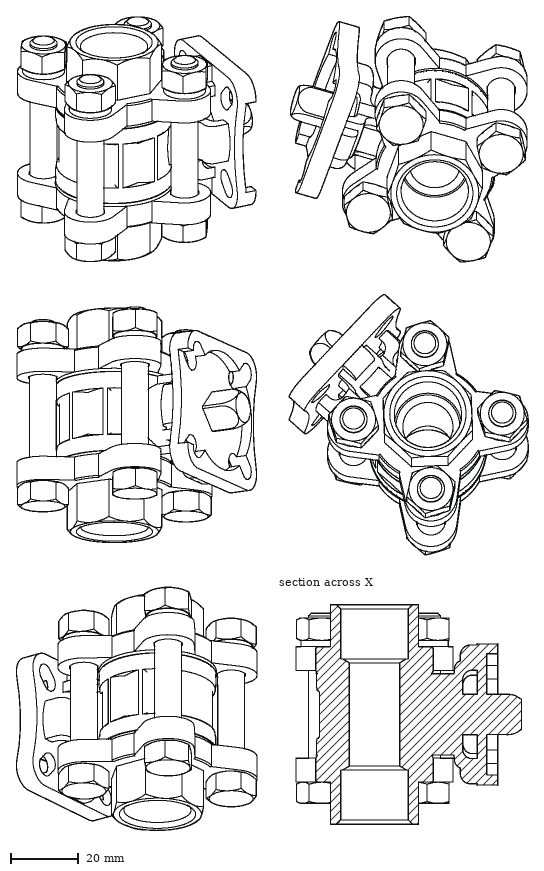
import cadquery as cq
import math


outer_width = 46.55
outer_depth = 66.8
outer_height = 65.0

end_height = outer_height / 2
octagon_flats = 26.05
octagon_chamfer_angle = 45.0
bore_radius = 7.4
socket_radius = 9.95
socket_mouth_radius = 11.3
socket_depth = 16.0
seat_radius = 9.4
seat_depth = 1.2

flange_inner_z = 12.95
flange_outer_z = 20.05
flange_disc_radius = 17.4
flange_edge_chamfer = 0.5
lobe_radius = 15.4 / 2
web_angle = 35.0
bolt_offset = outer_width / 2 - lobe_radius
bolt_hole_radius = 8.5 / 2

rod_radius = 4.0
rod_tip_z = 29.9
rod_tip_chamfer = 0.8
washer_radius = 12.5 / 2
washer_top_z = 21.9
hex_flats = 13.0
hex_chamfer_angle = 30.0
nut_top_z = 28.5
head_bottom_z = -26.3

body_half_height = 24.1 / 2
collar_radius = 16.95
rim_radius = 17.3
rim_inner_z = 8.5
barrel_radius = 17.1
barrel_half_height = 7.55
groove_radius = 16.3
groove_half_height = 7.1
groove_fillet = 0.75
boss_half_width = 6.4
boss_draft = 25.0
edge_tolerance = 0.001

neck_radius = 10.4
neck_top_y = 26.1
pad_half_width = 8.2 / 2
pad_top_y = 23.6

cup_outer_radius = 16.0
cup_inner_radius = 13.0
cup_bottom_y = pad_top_y
cup_fillet = 2.7
cup_root_y = cup_bottom_y - cup_fillet
arm_half_width = 6.0
stop_reach = 20.6
stop_bottom_y = 25.3
stop_fillet = 3.15

plate_bottom_y = 30.3
plate_top_y = 36.45
plate_corner_offset = 14.8
plate_corner_radius = 6.15
plate_waist = 18.95
slot_inner_offset = 12.75
slot_width = 5.7
recess_radius = 17.9
recess_outlet_half_width = 14.35
recess_floor_y = 33.2

stem_radius = 6.0
stem_top_y = outer_depth - outer_width / 2
stem_dome_center_y = 39.5
stem_square = 9.0

quarter_turns = (0, 90, 180, 270)


def cylinder_z(radius, bottom, top):
    return cq.Workplane("XY").workplane(offset=bottom).circle(radius).extrude(top - bottom)


def plane_y(y):
    """Workplane facing +Y at the given height, with local axes (X, -Z)."""
    return cq.Workplane(cq.Plane((0, y, 0), (1, 0, 0), (0, 1, 0)))


def cylinder_y(radius, bottom, top):
    return plane_y(bottom).circle(radius).extrude(top - bottom)


def box_between(x, y, z):
    size = [high - low for low, high in (x, y, z)]
    middle = [(high + low) / 2 for low, high in (x, y, z)]
    return cq.Workplane("XY").box(*size).translate(tuple(middle))


def chamfered_prism(sides, flats, bottom, top, angle, ends):
    """Polygonal prism along Z whose corners are turned down to the flats at the given ends."""
    corner_radius = flats / 2 / math.cos(math.pi / sides)
    drop = (corner_radius - flats / 2) * math.tan(math.radians(angle))
    prism = (
        cq.Workplane("XY").workplane(offset=bottom)
        .transformed(rotate=(0, 0, 180 / sides))
        .polygon(sides, 2 * corner_radius).extrude(top - bottom)
    )
    low = flats / 2 if "bottom" in ends else corner_radius
    high = flats / 2 if "top" in ends else corner_radius
    envelope = (
        cq.Workplane("XZ").moveTo(0, bottom).lineTo(low, bottom)
        .lineTo(corner_radius, bottom + drop).lineTo(corner_radius, top - drop)
        .lineTo(high, top).lineTo(0, top).close().revolve(360, (0, 0), (0, 1))
    )
    return prism.intersect(envelope)


def make_flange():
    """Upper flange: a disc with four bolt lobes joined to it by tapering webs."""
    slope = math.radians(web_angle)
    along = (math.cos(slope), math.sin(slope))
    tangent = (bolt_offset - lobe_radius * along[1], bolt_offset + lobe_radius * along[0])
    projection = tangent[0] * along[0] + tangent[1] * along[1]
    reach = tangent[0] ** 2 + tangent[1] ** 2 - flange_disc_radius ** 2
    step = projection - math.sqrt(projection ** 2 - reach)
    waist = (tangent[0] - step * along[0], tangent[1] - step * along[1])
    thickness = flange_outer_z - flange_inner_z
    lobe_tip = bolt_offset + lobe_radius / math.sqrt(2)
    arm = (
        cq.Workplane("XY").workplane(offset=flange_inner_z)
        .lineTo(*waist).lineTo(*tangent)
        .threePointArc((lobe_tip, lobe_tip), tangent[::-1])
        .lineTo(*waist[::-1]).close().extrude(thickness)
    )
    flange = cylinder_z(flange_disc_radius, flange_inner_z, flange_outer_z)
    flange = flange.faces(">Z").chamfer(flange_edge_chamfer)
    bolt_hole = cylinder_z(bolt_hole_radius, flange_inner_z, flange_outer_z)
    bolt_hole = bolt_hole.translate((bolt_offset, bolt_offset, 0))
    for turn in quarter_turns:
        flange = flange.union(arm.rotate((0, 0, 0), (0, 0, 1), turn))
    for turn in quarter_turns:
        flange = flange.cut(bolt_hole.rotate((0, 0, 0), (0, 0, 1), turn))
    return flange


def make_bolt():
    """Bolt with its head below the lower flange and a washer and nut above the upper one."""
    rod = cylinder_z(rod_radius, -flange_outer_z, rod_tip_z).faces(">Z").chamfer(rod_tip_chamfer)
    washer = cylinder_z(washer_radius, flange_outer_z, washer_top_z)
    both_ends = ("bottom", "top")
    nut = chamfered_prism(6, hex_flats, washer_top_z, nut_top_z, hex_chamfer_angle, both_ends)
    head = chamfered_prism(6, hex_flats, head_bottom_z, -flange_outer_z, hex_chamfer_angle, both_ends)
    bolt = rod.union(washer).union(nut).union(head)
    return bolt.translate((bolt_offset, bolt_offset, 0))


def make_end():
    """Upper end connection from the body to the octagon, without its bore."""
    octagon = chamfered_prism(8, octagon_flats, 0, end_height, octagon_chamfer_angle, ("top",))
    collar = (
        cq.Workplane("XZ").moveTo(0, body_half_height).lineTo(collar_radius, body_half_height)
        .lineTo(flange_disc_radius, flange_inner_z).lineTo(0, flange_inner_z).close()
        .revolve(360, (0, 0), (0, 1))
    )
    return octagon.union(collar).union(make_flange())


def round_groove_floor(groove):
    """Fillet the edges of a groove cutter that lie on its inner cylinder."""
    floor_edges = [
        edge for edge in groove.edges().vals()
        if all(abs(math.hypot(v.X, v.Y) - groove_radius) < edge_tolerance for v in edge.Vertices())
    ]
    return groove.newObject(floor_edges).fillet(groove_fillet)


def make_body():
    """Round body with a wide groove, interrupted by a flat boss on each X side."""
    body = (
        cq.Workplane("XZ").lineTo(0, body_half_height).lineTo(rim_radius, body_half_height)
        .lineTo(rim_radius, rim_inner_z).lineTo(barrel_radius, barrel_half_height)
        .lineTo(barrel_radius, 0).close().revolve(360, (0, 0), (0, 1))
    )
    body = body.union(body.mirror("XY"))
    outside = 2 * barrel_radius
    ring = cylinder_z(outside, -groove_half_height, groove_half_height)
    ring = ring.cut(cylinder_z(groove_radius, -groove_half_height, groove_half_height))
    wall_rise = math.tan(math.radians(boss_draft))
    wall_top_x = math.sqrt(barrel_radius ** 2 - boss_half_width ** 2)
    strip_half_length = flange_disc_radius
    strip_middle = boss_half_width + wall_top_x * wall_rise
    strip_end = strip_middle - strip_half_length * wall_rise
    boss_strip = (
        cq.Workplane("XY").workplane(offset=-body_half_height)
        .polyline([
            (strip_half_length, strip_end), (0, strip_middle), (-strip_half_length, strip_end),
            (-strip_half_length, -strip_end), (0, -strip_middle), (strip_half_length, -strip_end),
        ]).close().extrude(2 * body_half_height)
    )
    inside_flats = box_between(
        (-groove_radius, groove_radius), (-outside, outside), (-body_half_height, body_half_height)
    )
    body = body.cut(round_groove_floor(ring.cut(boss_strip)))
    return body.cut(round_groove_floor(ring).intersect(boss_strip).cut(inside_flats))


def make_neck():
    pad = box_between(
        (-pad_half_width, pad_half_width), (0, pad_top_y), (-body_half_height, body_half_height)
    )
    return cylinder_y(neck_radius, 0, neck_top_y).union(pad)


def make_cup():
    """Turned cup trimmed to a cross of four arms, with a stop block on each Z arm."""
    bend = cup_fillet * math.sqrt(0.5)
    outer_center = (cup_outer_radius - cup_fillet, cup_bottom_y + cup_fillet)
    root_center = (neck_radius + cup_fillet, cup_root_y)
    inner_center = (cup_inner_radius - cup_fillet, neck_top_y + cup_fillet)
    cup = (
        cq.Workplane("XY").moveTo(0, cup_root_y).lineTo(neck_radius, cup_root_y)
        .threePointArc((root_center[0] - bend, root_center[1] + bend), (root_center[0], cup_bottom_y))
        .lineTo(outer_center[0], cup_bottom_y)
        .threePointArc(
            (outer_center[0] + bend, outer_center[1] - bend), (cup_outer_radius, outer_center[1])
        )
        .lineTo(cup_outer_radius, plate_bottom_y).lineTo(cup_inner_radius, plate_bottom_y)
        .lineTo(cup_inner_radius, inner_center[1])
        .threePointArc((inner_center[0] + bend, inner_center[1] - bend), (inner_center[0], neck_top_y))
        .lineTo(0, neck_top_y).close().revolve(360, (0, 0), (0, 1))
    )
    height = (cup_root_y, plate_bottom_y)
    across = (-arm_half_width, arm_half_width)
    along = (-cup_outer_radius, cup_outer_radius)
    cross = box_between(across, height, along).union(box_between(along, height, across))
    cup = cup.intersect(cross)
    stop = box_between(
        (-pad_half_width, pad_half_width),
        (stop_bottom_y, plate_bottom_y),
        (cup_outer_radius - 2 * cup_fillet, stop_reach),
    )
    stop = stop.edges("<Y and >Z").fillet(stop_fillet)
    stop = stop.cut(cylinder_y((cup_inner_radius + cup_outer_radius) / 2, stop_bottom_y, plate_bottom_y))
    return cup.union(stop).union(stop.mirror("XY"))


def make_plate():
    """Square plate with round corners and waisted X sides.

    It has four diagonal slots and, in its top face, a round recess with an outlet to +X.
    """
    half = plate_corner_offset + plate_corner_radius
    center_gap = plate_corner_offset - plate_waist
    waist_radius = (plate_corner_offset ** 2 + center_gap ** 2 - plate_corner_radius ** 2) / (
        2 * (center_gap + plate_corner_radius)
    )
    waist_center = plate_waist + waist_radius
    tilt = math.asin(plate_corner_offset / (waist_radius + plate_corner_radius))
    joint = (waist_center - waist_radius * math.cos(tilt), waist_radius * math.sin(tilt))
    corner_middle = (
        plate_corner_offset + plate_corner_radius * math.cos(math.pi / 4),
        plate_corner_offset + plate_corner_radius * math.sin(math.pi / 4),
    )
    outline = (
        plane_y(plate_bottom_y).moveTo(plate_corner_offset, half)
        .threePointArc(corner_middle, joint)
        .threePointArc((plate_waist, 0), (joint[0], -joint[1]))
        .threePointArc((corner_middle[0], -corner_middle[1]), (plate_corner_offset, -half))
        .lineTo(-plate_corner_offset, -half)
        .threePointArc((-corner_middle[0], -corner_middle[1]), (-joint[0], -joint[1]))
        .threePointArc((-plate_waist, 0), (-joint[0], joint[1]))
        .threePointArc((-corner_middle[0], corner_middle[1]), (-plate_corner_offset, half))
        .close()
    )
    plate = outline.extrude(plate_top_y - plate_bottom_y)
    slot_travel = (plate_corner_offset - slot_inner_offset) * math.sqrt(2)
    slot_center = (plate_corner_offset + slot_inner_offset) / 2
    slot = (
        plane_y(plate_bottom_y).center(slot_center, slot_center)
        .slot2D(slot_travel + slot_width, slot_width, 45).extrude(plate_top_y - plate_bottom_y)
    )
    for turn in quarter_turns:
        plate = plate.cut(slot.rotate((0, 0, 0), (0, 1, 0), turn))
    recess = cylinder_y(recess_radius, recess_floor_y, plate_top_y).union(
        box_between(
            (0, half),
            (recess_floor_y, plate_top_y),
            (-recess_outlet_half_width, recess_outlet_half_width),
        )
    )
    return plate.cut(recess)


def make_stem():
    """Round stem ending in a square with its corners at +-X and +-Z and a domed tip."""
    shaft = cylinder_y(stem_radius, cup_root_y, recess_floor_y)
    square = (
        plane_y(recess_floor_y).transformed(rotate=(0, 0, 45))
        .rect(stem_square, stem_square).extrude(stem_top_y - recess_floor_y)
    )
    dome = cq.Workplane("XY").sphere(stem_radius).translate((0, stem_dome_center_y, 0))
    dome = dome.union(cylinder_y(stem_radius, recess_floor_y, stem_dome_center_y))
    return shaft.union(square.intersect(dome))


def make_bore():
    """Through bore with a chamfered socket and a conical seat, for the upper half."""
    mouth_depth = socket_mouth_radius - socket_radius
    socket_floor = end_height - socket_depth
    return (
        cq.Workplane("XZ").lineTo(bore_radius, 0).lineTo(bore_radius, socket_floor - seat_depth)
        .lineTo(seat_radius, socket_floor).lineTo(socket_radius, socket_floor)
        .lineTo(socket_radius, end_height - mouth_depth).lineTo(socket_mouth_radius, end_height)
        .lineTo(0, end_height).close().revolve(360, (0, 0), (0, 1))
    )


end = make_end()
bore = make_bore()
valve = make_body().union(make_neck()).union(end).union(end.mirror("XY"))
valve = valve.cut(bore).cut(bore.mirror("XY"))
valve = valve.union(make_cup()).union(make_plate()).union(make_stem())
bolt = make_bolt()
for turn in quarter_turns:
    valve = valve.union(bolt.rotate((0, 0, 0), (0, 0, 1), turn))

result = valve